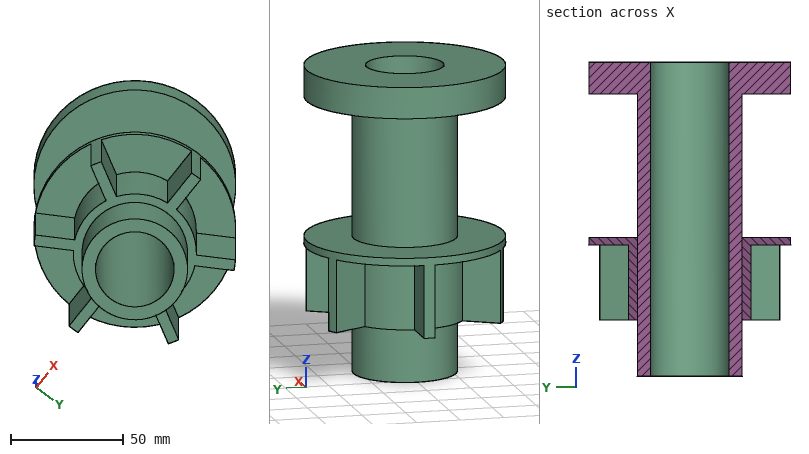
import cadquery as cq

sleeve_height = 140.0
sleeve_radius = 23.5
bore_radius = 17.5
flange_diameter = 90.0
flange_radius = flange_diameter / 2
flange_thickness = 14.3

wheel_base = 25.0
vane_height = 33.3
vane_thickness = 5.0
vane_count = 6
plate_thickness = 3.5
plate_radius = flange_radius
hub_radius = 27.5


def cylinder(radius, height, base=0.0):
    """Solid cylinder about the Z axis, rising from the given base."""
    return cq.Workplane("XY").workplane(offset=base).circle(radius).extrude(height)


def make_sleeve():
    """Through-bored tube with a wide flange at its top end."""
    tube = cylinder(sleeve_radius, sleeve_height)
    flange = cylinder(flange_radius, flange_thickness, sleeve_height - flange_thickness)
    return tube.union(flange).cut(cylinder(bore_radius, sleeve_height))


def make_vaned_hub():
    """Hub carrying radial vanes with outer ends flush with the rim of the plate."""
    vanes = cylinder(hub_radius, vane_height, wheel_base)
    for index in range(vane_count):
        vane = (
            cq.Workplane("XY")
            .box(2 * plate_radius, vane_thickness, vane_height, centered=(False, True, False))
            .translate((0, 0, wheel_base))
            .rotate((0, 0, 0), (0, 0, 1), index * 360 / vane_count)
        )
        vanes = vanes.union(vane)
    return vanes.intersect(cylinder(plate_radius, vane_height, wheel_base))


def make_wheel():
    """Hub and vanes under a round plate, bored to fit the sleeve."""
    wheel_height = vane_height + plate_thickness
    plate = cylinder(plate_radius, plate_thickness, wheel_base + vane_height)
    sleeve_hole = cylinder(sleeve_radius, wheel_height, wheel_base)
    return make_vaned_hub().union(plate).cut(sleeve_hole)


sleeve = make_sleeve()
wheel = make_wheel()
result = cq.Compound.makeCompound([sleeve.val(), wheel.val()])